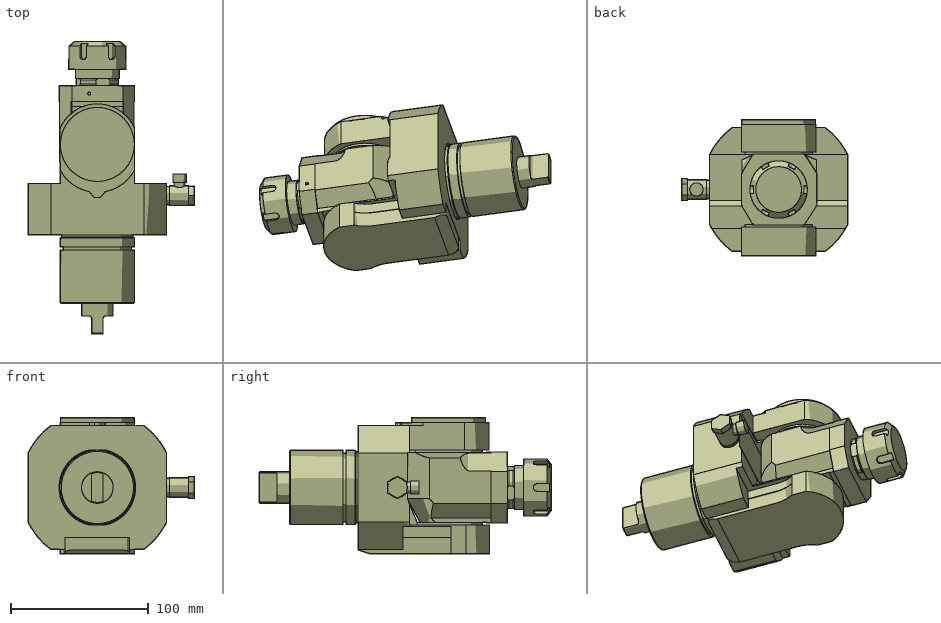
import cadquery as cq
import math


flange_depth = 37.3
flange_half_width = 50.3
flange_half_height = 45.0
flange_radius = 56.2

shank_dia = 54.0
shank_length = 49.8
shank_chamfer = 0.8
collar_dia = 53.6
collar_length = 1.5
face_recess_dia = 55.5
face_recess_depth = 1.0
groove_dia = 49.8
groove_start = 8.7
groove_width = 2.3
drive_dia = 23.0
drive_end = 59.0
tang_thickness = 8.3
tang_end = 71.9
tang_root_radius = 2.0
tang_chamfer = 0.6

swivel_y = 65.5
arm_half_width = shank_dia / 2
arm_inner_z = 27.1
upper_arm_radius = 29.5
lower_arm_radius = 30.0
pad_top = 47.0
pad_rear_offset = 4.2
pad_rear_radius = 30.5
pad_nose_tip = 27.0
pad_nose_root = 31.0
pad_nose_tip_half = 2.0
pad_nose_root_half = 5.7
cap_dia = 53.6
cap_top = 50.7
foot_bottom = -48.1
pivot_dia = 49.0

key_half_width = 23.3
key_top = -27.1
key_step = -36.3
key_corner_radius = 4.7
key_setback = 0.2
key_bevel_length = 8.5
key_bevel_height = 2.8
relief_front = 32.5
relief_back = 67.5
relief_top = -28.5
relief_upper_tangent = 54.7
relief_lower_tangent = 53.5
relief_step = 0.5

body_left = 27.8
body_right = 27.0
body_side_inset = 0.2
body_side_left = body_left - body_side_inset
body_side_right = body_right - body_side_inset
body_half_height = 25.2
body_flat_half = 18.5
body_shoulder_z = 21.5
body_chamfer_bottom = -22.0
body_facet_top = -8.5
body_facet_inset = 0.6
body_radius = 30.1
cone_top = -8.0
cone_end_radius = 20.8
chamfer_side_z = 11.5
plate_back = 96.5
plate_front = 108.1
plate_half_height = 25.9
plate_step_back = 93.0
plate_step_drop = 0.2
mill_end = 73.2
mill_radius = 8.5
pin_hole_dia = 2.1
pin_hole_depth = 2.1
pin_hole_y = 102.5
side_hole_z = -5.3
top_hole_x = -6.0
gap_width = 2.0
clearance_back = 35.6
pivot_height = arm_inner_z - body_half_height

neck_dia = 30.7
neck_end = 113.2
neck_across_flats = 28.8
neck_flat_angle = 16
neck_bevel_length = 1.0
neck_bevel_depth = 0.5
nut_collar_dia = 32.0
nut_start = 120.0
nut_dia = 41.5
nut_end = 140.2
nut_bevel_length = 3.4
nut_bevel_depth = 4.2
nut_slot_count = 6
nut_slot_width = 5.5
nut_slot_start = 127.0
nut_slot_depth = 2.5

elbow_y = 28.5
elbow_dia = 14.5
elbow_flange_dia = 13.5
elbow_flange_end = 52.2
elbow_hex_start = 66.2
elbow_hex_across_corners = 16.1
elbow_end = 70.4
stub_x = 59.5
stub_neck_dia = 8.3
stub_dia = 9.8
stub_neck_end = 38.0
stub_end = 44.0


def box(x0, x1, y0, y1, z0, z1):
    return cq.Workplane("XY").box(x1 - x0, y1 - y0, z1 - z0, centered=False).translate((x0, y0, z0))


def cylinder_y(dia, y0, y1, x=0, z=0):
    direction = cq.Vector(0, 1, 0)
    return cq.Workplane(cq.Solid.makeCylinder(dia / 2, y1 - y0, cq.Vector(x, y0, z), direction))


def cylinder_x(dia, x0, x1, y, z=0):
    direction = cq.Vector(1, 0, 0)
    return cq.Workplane(cq.Solid.makeCylinder(dia / 2, x1 - x0, cq.Vector(x0, y, z), direction))


def cylinder_z(dia, z0, z1, y=swivel_y, x=0):
    return cq.Workplane(cq.Solid.makeCylinder(dia / 2, z1 - z0, cq.Vector(x, y, z0)))


def prism_y(points, y0, y1):
    """Extrude a closed XZ outline from y0 to y1."""
    return cq.Workplane("XZ", origin=(0, y0, 0)).polyline(points).close().extrude(y0 - y1)


def make_flange():
    disc = cylinder_y(2 * flange_radius, 0, flange_depth)
    block = box(-flange_half_width, flange_half_width, 0, flange_depth,
                -flange_half_height, flange_half_height)
    return disc.intersect(block)


def make_arm(radius, z0, z1):
    """Fork arm with straight sides and a round end about the swivel axis."""
    straight = box(-arm_half_width, arm_half_width, 0, swivel_y, z0, z1)
    sides = box(-arm_half_width, arm_half_width, 0, swivel_y + radius, z0, z1)
    return straight.union(cylinder_z(2 * radius, z0, z1).intersect(sides))


def make_pad():
    """Raised land on the upper arm, with a small nose that points to the flange."""
    land = cylinder_z(2 * upper_arm_radius, flange_half_height, pad_top)
    rear = cylinder_z(2 * pad_rear_radius, flange_half_height, pad_top, swivel_y - pad_rear_offset)
    nose = (
        cq.Workplane("XY", origin=(0, 0, flange_half_height))
        .polyline([
            (-pad_nose_root_half, pad_nose_root),
            (-pad_nose_tip_half, pad_nose_tip),
            (pad_nose_tip_half, pad_nose_tip),
            (pad_nose_root_half, pad_nose_root),
            (0, swivel_y),
        ])
        .close()
        .extrude(pad_top - flange_half_height)
    )
    rear_half = box(-arm_half_width, arm_half_width, 0, swivel_y, flange_half_height, pad_top)
    sides = box(-arm_half_width, arm_half_width, 0, swivel_y + upper_arm_radius,
                flange_half_height, pad_top)
    return land.intersect(sides).union(rear.intersect(rear_half)).union(nose)


def make_key():
    """Key block with rounded front corners and a bevelled lower front edge."""
    upper = box(-key_half_width, key_half_width, 0, swivel_y, key_step, key_top)
    lower = box(-key_half_width, key_half_width, key_setback, swivel_y, foot_bottom, key_step)
    lower = lower.edges("|Z and <Y").fillet(key_corner_radius)
    bevel = (
        cq.Workplane("YZ", origin=(-key_half_width, 0, 0))
        .polyline([
            (0, foot_bottom),
            (key_bevel_length, foot_bottom),
            (0, foot_bottom + key_bevel_height),
        ])
        .close()
        .extrude(2 * key_half_width)
    )
    return upper.union(lower.cut(bevel))


def make_arm_root():
    """Shallow step that joins the upper arm to the flange up to the pivot disc."""
    root_back = swivel_y - pivot_dia / 2
    return box(-body_flat_half, body_flat_half, face_recess_depth, root_back, body_half_height, arm_inner_z)


def make_side_relief(floor_x, tangent_y, top):
    """Milled relief on the -X side of the lower arm that runs out along an arc."""
    run = relief_back - tangent_y
    rise = arm_half_width - floor_x
    arc_radius = (run ** 2 + rise ** 2) / (2 * rise)
    half_angle = math.atan2(run, arc_radius - rise) / 2
    arc_middle = (
        -floor_x - arc_radius * (1 - math.cos(half_angle)),
        tangent_y + arc_radius * math.sin(half_angle),
    )
    return (
        cq.Workplane("XY", origin=(0, 0, foot_bottom))
        .moveTo(-floor_x, relief_front)
        .lineTo(-floor_x, tangent_y)
        .threePointArc(arc_middle, (-arm_half_width, relief_back))
        .lineTo(-flange_half_width, relief_back)
        .lineTo(-flange_half_width, relief_front)
        .close()
        .extrude(top - foot_bottom)
    )


def make_body_clearance():
    """Full-width recess in the back of the flange, sloped along the cone of the body."""
    cone_front = swivel_y - cone_end_radius
    return (
        cq.Workplane("YZ", origin=(-flange_half_width, 0, 0))
        .polyline([
            (clearance_back, body_half_height),
            (clearance_back, cone_top),
            (cone_front - gap_width, -body_half_height),
            (cone_front, -body_half_height),
            (cone_front, body_half_height),
        ])
        .close()
        .extrude(2 * flange_half_width)
    )


def make_fork():
    lower_arm = make_arm(lower_arm_radius, foot_bottom, -arm_inner_z)
    lower_arm = lower_arm.cut(box(-arm_half_width, arm_half_width, 0, relief_front,
                                  foot_bottom, -arm_inner_z))
    fork = make_flange().cut(cylinder_y(face_recess_dia, 0, face_recess_depth))
    fork = fork.cut(box(-key_half_width, key_half_width, 0, relief_front, foot_bottom, key_step))
    fork = fork.union(make_arm(upper_arm_radius, arm_inner_z, flange_half_height))
    fork = fork.union(make_arm_root())
    fork = fork.union(make_pad()).union(lower_arm)
    upper_relief = make_side_relief(key_half_width + relief_step, relief_upper_tangent, relief_top)
    lower_relief = make_side_relief(key_half_width, relief_lower_tangent, key_step)
    for relief in (upper_relief, lower_relief):
        fork = fork.cut(relief).cut(relief.mirror("YZ"))
    fork = fork.union(make_key())
    fork = fork.union(cylinder_z(cap_dia, arm_inner_z, cap_top))
    for z0 in (-arm_inner_z, body_half_height):
        fork = fork.union(cylinder_z(pivot_dia, z0, z0 + pivot_height))
    return fork.cut(make_body_clearance())


def make_web():
    """Sloped web behind the flange that follows the cone of the spindle body with a gap."""
    cone_front = swivel_y - cone_end_radius - gap_width
    return (
        cq.Workplane("YZ", origin=(-body_flat_half, 0, 0))
        .polyline([
            (clearance_back, cone_top),
            (cone_front, -body_half_height),
            (cone_front, -arm_inner_z),
            (clearance_back, -arm_inner_z),
        ])
        .close()
        .extrude(2 * body_flat_half)
    )


def make_shank():
    shank = cylinder_y(shank_dia, -shank_length, -collar_length).faces("<Y or >Y").chamfer(shank_chamfer)
    groove_end = groove_start + groove_width
    groove = cylinder_y(2 * shank_dia, -groove_end, -groove_start)
    groove = groove.cut(cylinder_y(groove_dia, -groove_end, -groove_start))
    collar = cylinder_y(collar_dia - 2 * shank_chamfer, -collar_length, face_recess_depth)
    return shank.cut(groove).union(collar)


def make_drive():
    """Drive journal milled down to a flat tang."""
    drive = cylinder_y(drive_dia, -tang_end, -shank_length).faces("<Y").chamfer(tang_chamfer)
    half = tang_thickness / 2
    cutter = box(half, drive_dia, -2 * tang_end, -drive_end, -drive_dia, drive_dia)
    cutter = cutter.edges("|Z and >Y and <X").fillet(tang_root_radius)
    return drive.cut(cutter).cut(cutter.mirror("YZ"))


def make_front_plate():
    z_top = plate_half_height
    outline = [
        (-body_flat_half, z_top),
        (body_flat_half, z_top),
        (body_right, chamfer_side_z),
        (body_right, -chamfer_side_z),
        (body_flat_half, -z_top),
        (-body_flat_half, -z_top),
        (-body_left, -chamfer_side_z),
        (-body_left, chamfer_side_z),
    ]
    plate = prism_y(outline, plate_back, plate_front)
    side_hole = cylinder_x(pin_hole_dia, -body_left, pin_hole_depth - body_left, pin_hole_y, side_hole_z)
    top_hole = cylinder_z(pin_hole_dia, z_top - pin_hole_depth, z_top, pin_hole_y, top_hole_x)
    step_z = z_top - plate_step_drop
    step = box(-body_flat_half, body_flat_half, plate_step_back, plate_back, -step_z, step_z)
    return plate.union(step).cut(side_hole).cut(top_hole)


def make_mill_cutter(side_x):
    """Cutter for a long upper chamfer that runs out into a round end wall."""
    run = side_x - body_flat_half
    drop = plate_half_height - chamfer_side_z
    angle = math.degrees(math.atan2(drop, run))
    reach = 2 * math.hypot(run, drop)
    cutter = box(-reach, reach, mill_end, plate_back, 0, reach)
    cutter = cutter.edges("|X and <Y and <Z").fillet(mill_radius)
    cutter = cutter.rotate((0, 0, 0), (0, 1, 0), angle)
    return cutter.translate((body_flat_half, 0, plate_half_height))


def make_spindle_body():
    """Body between the arms, round and conical at the back."""
    outline = [
        (-body_flat_half, body_half_height),
        (body_flat_half, body_half_height),
        (body_side_right, body_shoulder_z),
        (body_side_right, body_facet_top),
        (body_side_right - body_facet_inset, -chamfer_side_z),
        (body_flat_half, body_chamfer_bottom),
        (body_flat_half, -body_half_height),
        (-body_flat_half, -body_half_height),
        (-body_flat_half, body_chamfer_bottom),
        (body_facet_inset - body_side_left, -chamfer_side_z),
        (-body_side_left, body_facet_top),
        (-body_side_left, body_shoulder_z),
    ]
    block = prism_y(outline, 0, plate_back)
    rear_envelope = (
        cq.Workplane("XZ", origin=(0, swivel_y, 0))
        .polyline([
            (0, body_half_height),
            (body_radius, body_half_height),
            (body_radius, cone_top),
            (cone_end_radius, -body_half_height),
            (0, -body_half_height),
        ])
        .close()
        .revolve(360, (0, 0, 0), (0, 1, 0))
    )
    front_envelope = box(-body_left, body_right, swivel_y, plate_back,
                         -body_half_height, body_half_height)
    body = block.intersect(rear_envelope.union(front_envelope))
    body = body.cut(make_mill_cutter(body_right))
    return body.cut(make_mill_cutter(body_left).mirror("YZ"))


def make_nut():
    """Collet nut on a neck with four flats, with open wrench slots around its rim."""
    radius = nut_dia / 2
    nut = cylinder_y(nut_dia, nut_start, nut_end)
    nut = nut.faces(">Y").chamfer(nut_bevel_length, nut_bevel_depth)
    slot_half = nut_slot_width / 2
    floor = radius - nut_slot_depth
    slot = box(floor, 2 * radius, nut_slot_start + slot_half, 2 * nut_end, -slot_half, slot_half)
    slot = slot.union(cylinder_x(nut_slot_width, floor, 2 * radius, nut_slot_start + slot_half))
    for i in range(nut_slot_count):
        nut = nut.cut(slot.rotate((0, 0, 0), (0, 1, 0), i * 360 / nut_slot_count))
    collar = cylinder_y(nut_collar_dia, neck_end, nut_start)
    neck = cylinder_y(neck_dia, plate_front, neck_end)
    neck = neck.faces("<Y or >Y").chamfer(neck_bevel_length, neck_bevel_depth)
    half = neck_across_flats / 2
    square = box(-half, half, plate_front, neck_end, -half, half)
    square = square.rotate((0, 0, 0), (0, 1, 0), neck_flat_angle)
    return nut.union(collar).union(neck.intersect(square))


def make_elbow():
    """Coolant elbow on the +X side with a short stub towards +Y."""
    elbow = cylinder_x(elbow_flange_dia, flange_half_width, elbow_flange_end, elbow_y)
    elbow = elbow.union(cylinder_x(elbow_dia, elbow_flange_end, elbow_hex_start, elbow_y))
    hexagon = (
        cq.Workplane("YZ", origin=(elbow_hex_start, elbow_y, 0))
        .transformed(rotate=(0, 0, 90))
        .polygon(6, elbow_hex_across_corners)
        .extrude(elbow_end - elbow_hex_start)
    )
    stub = cylinder_y(stub_neck_dia, elbow_y, stub_neck_end, stub_x)
    stub = stub.union(cylinder_y(stub_dia, stub_neck_end, stub_end, stub_x))
    return elbow.union(hexagon).union(stub)


result = make_fork()
for piece in (make_web(), make_shank(), make_drive(), make_spindle_body(),
              make_front_plate(), make_nut(), make_elbow()):
    result = result.union(piece)